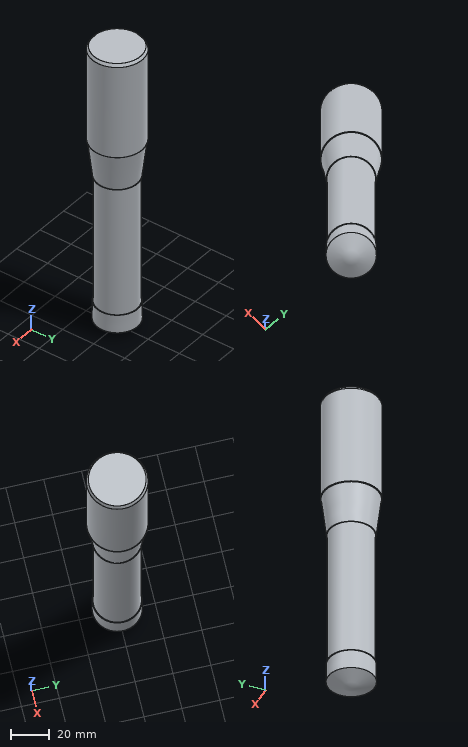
import cadquery as cq

total_height = 180.7

head_radius = 13.0
back_taper = 0.09
head_back_radius = head_radius - back_taper
point_height = 4.7
head_top = 16.0

neck_radius = 12.5
neck_top = 97.2
taper_bottom_radius = 12.8
taper_top_radius = 15.5
shank_bottom = 120.2
shank_radius = 15.9
bottom_chamfer_width = shank_radius - taper_top_radius
bottom_chamfer_height = bottom_chamfer_width
top_chamfer_width = 1.0
top_chamfer_height = 1.8


def revolve_profile(points):
    """Turn a closed (radius, height) outline about the Z axis."""
    return cq.Workplane("XZ").polyline(points).close().revolve(360, (0, 0), (0, 1))


def make_cutting_head():
    """Conical point with a slightly back-tapered rim and a flat seat."""
    return revolve_profile([
        (0, 0),
        (head_radius, point_height),
        (head_back_radius, head_top),
        (0, head_top),
    ])


def make_holder():
    """Neck, taper and chamfered shank, resting on the seat of the head."""
    return revolve_profile([
        (0, head_top),
        (neck_radius, head_top),
        (neck_radius, neck_top),
        (taper_bottom_radius, neck_top),
        (taper_top_radius, shank_bottom),
        (shank_radius, shank_bottom + bottom_chamfer_height),
        (shank_radius, total_height - top_chamfer_height),
        (shank_radius - top_chamfer_width, total_height),
        (0, total_height),
    ])


cutting_head = make_cutting_head()
holder = make_holder()

result = cq.Compound.makeCompound([cutting_head.val(), holder.val()])